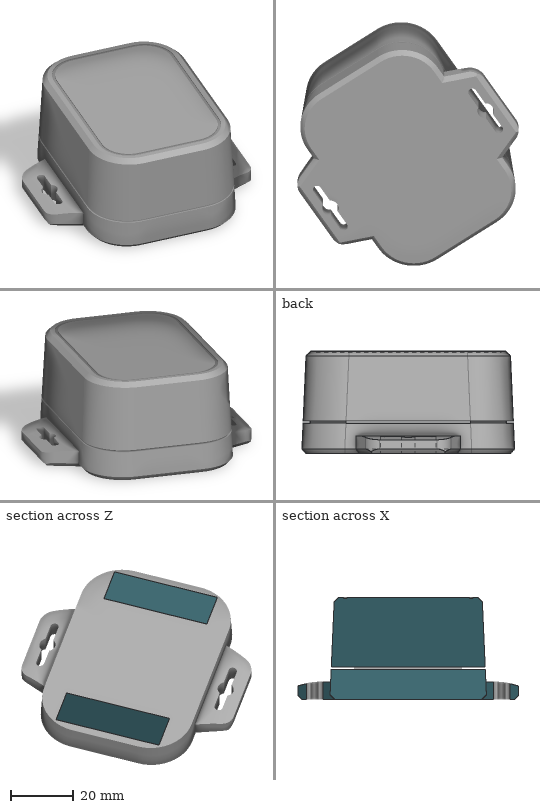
import cadquery as cq
import math

PARTING_LENGTH = 67.8
PARTING_WIDTH = 49.8
TOTAL_HEIGHT = 33.05
DRAFT_ANGLE = 2.5
CORNER_RADIUS = 13.85
EDGE_CHAMFER = 1.5
BASE_TOP = 9.85
LID_BOTTOM = 10.5

DRAFT_SLOPE = math.tan(math.radians(DRAFT_ANGLE))
PARTING_LEVEL = (BASE_TOP + LID_BOTTOM) / 2
FLOOR_SPREAD = 2 * PARTING_LEVEL * DRAFT_SLOPE
FLOOR_LENGTH = PARTING_LENGTH + FLOOR_SPREAD
FLOOR_WIDTH = PARTING_WIDTH + FLOOR_SPREAD

GROOVE_LENGTH = 59.75
GROOVE_WIDTH = 41.55
GROOVE_CORNER_RADIUS = 10.2
GROOVE_THICKNESS = 1.0
GROOVE_DEPTH = 0.35

SPACER_INNER_X = 20.05
SPACER_OUTER_X = 31.6
SPACER_WIDTH = 34.9

TAB_TIP_Y = 35.7
TAB_SIDE_ANGLE = 22
TAB_ROOT_HALF_WIDTH = 16.8
TAB_CORNER_RADIUS = 5
TAB_HEIGHT = 5.8
TAB_TIP_HEIGHT = 4.5
TAB_CURVE_START_Y = 27.5
TAB_OVERREACH = 4.3
SLOT_Y = 30.1
SLOT_LENGTH = 18.0
SLOT_WIDTH = 2.65
SLOT_HOLE_DIAMETER = 5.2


def drafted_block():
    """Full-height block with drafted walls, constant-radius corners and chamfered rims."""
    return (
        cq.Workplane("XY")
        .rect(FLOOR_LENGTH, FLOOR_WIDTH)
        .extrude(TOTAL_HEIGHT, taper=DRAFT_ANGLE)
        .edges("not #Z")
        .fillet(CORNER_RADIUS)
        .faces("<Z or >Z")
        .chamfer(EDGE_CHAMFER)
    )


def slab(bottom, top):
    """Slab larger than the part, used to take the block between two levels."""
    size = 2 * FLOOR_LENGTH
    return cq.Workplane("XY", origin=(0, 0, bottom)).rect(size, size).extrude(top - bottom)


def make_base():
    return drafted_block().intersect(slab(0, BASE_TOP))


def rounded_plate(length, width, radius):
    """Plate at the groove floor that reaches the lid's top face."""
    return (
        cq.Workplane("XY", origin=(0, 0, TOTAL_HEIGHT - GROOVE_DEPTH))
        .rect(length, width)
        .extrude(GROOVE_DEPTH)
        .edges("|Z")
        .fillet(radius)
    )


def make_lid():
    inset = 2 * GROOVE_THICKNESS
    outer = rounded_plate(GROOVE_LENGTH, GROOVE_WIDTH, GROOVE_CORNER_RADIUS)
    island = rounded_plate(
        GROOVE_LENGTH - inset, GROOVE_WIDTH - inset, GROOVE_CORNER_RADIUS - GROOVE_THICKNESS
    )
    body = drafted_block().intersect(slab(LID_BOTTOM, TOTAL_HEIGHT))
    return body.cut(outer.cut(island))


def make_spacer(side):
    """Flat pad between base and lid; side is -1 or +1 along X."""
    center_x = side * (SPACER_INNER_X + SPACER_OUTER_X) / 2
    return (
        cq.Workplane("XY", origin=(center_x, 0, BASE_TOP))
        .rect(SPACER_OUTER_X - SPACER_INNER_X, SPACER_WIDTH)
        .extrude(LID_BOTTOM - BASE_TOP)
    )


def tab_blank():
    """Tapered tab outline with rounded tip corners and a chamfered bottom rim."""
    slope = math.tan(math.radians(TAB_SIDE_ANGLE))
    root_y = FLOOR_WIDTH / 2
    inner_y = root_y - TAB_OVERREACH
    inner_half = TAB_ROOT_HALF_WIDTH + TAB_OVERREACH * slope
    tip_half = TAB_ROOT_HALF_WIDTH - (TAB_TIP_Y - root_y) * slope
    return (
        cq.Workplane("XY")
        .moveTo(-inner_half, inner_y)
        .lineTo(inner_half, inner_y)
        .lineTo(tip_half, TAB_TIP_Y)
        .lineTo(-tip_half, TAB_TIP_Y)
        .close()
        .extrude(TAB_HEIGHT)
        .faces("<Z")
        .chamfer(EDGE_CHAMFER)
        .edges("|Z and >Y")
        .fillet(TAB_CORNER_RADIUS)
    )


def tab_profile():
    """Side profile of the tab: flat on top, then an arc that drops toward the tip."""
    return (
        cq.Workplane("YZ", origin=(-FLOOR_LENGTH / 2, 0, 0))
        .moveTo(0, 0)
        .lineTo(0, TAB_HEIGHT)
        .lineTo(TAB_CURVE_START_Y, TAB_HEIGHT)
        .tangentArcPoint((TAB_TIP_Y, TAB_TIP_HEIGHT), relative=False)
        .lineTo(TAB_TIP_Y, 0)
        .close()
        .extrude(FLOOR_LENGTH)
    )


def keyhole_slot():
    """Slot along X with a round hole through its middle."""
    plane = cq.Workplane("XY", origin=(0, SLOT_Y, 0))
    slot = plane.slot2D(SLOT_LENGTH, SLOT_WIDTH).extrude(TAB_HEIGHT)
    return slot.union(plane.circle(SLOT_HOLE_DIAMETER / 2).extrude(TAB_HEIGHT))


def make_tab(turn, base):
    """Mounting tab turned about Z by the given angle and trimmed to the base's outer wall."""
    tab = tab_blank().intersect(tab_profile()).cut(keyhole_slot())
    return tab.rotate((0, 0, 0), (0, 0, 1), turn).cut(base)


base = make_base()
lid = make_lid()
spacers = [make_spacer(side) for side in (-1, 1)]
tabs = [make_tab(turn, base) for turn in (0, 180)]

result = cq.Compound.makeCompound(
    [base.val(), lid.val()] + [body.val() for body in spacers + tabs]
)